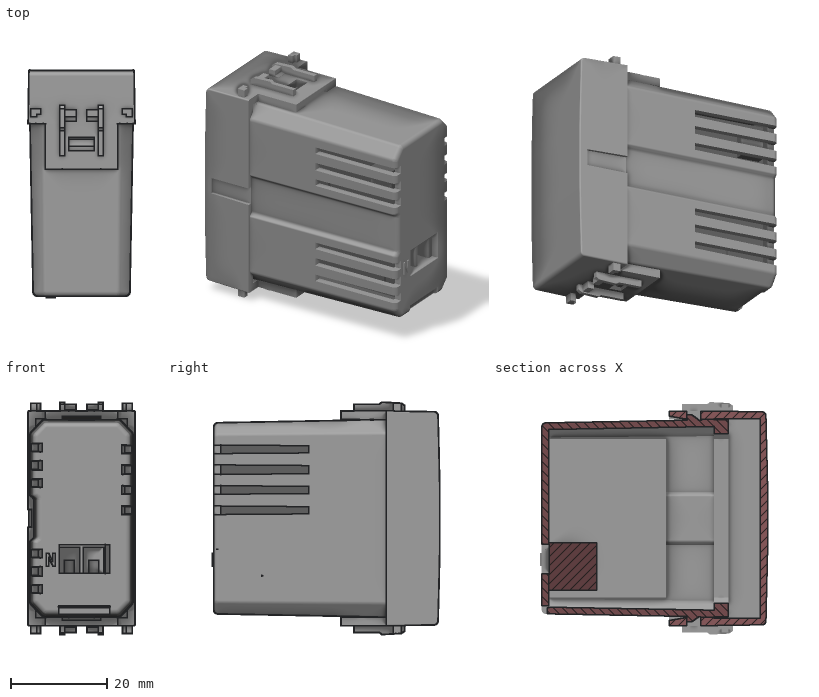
import cadquery as cq
import math


CAP_WIDTH = 22.3
CAP_HEIGHT = 44.75
CAP_DEPTH = 11.2
CAP_DRAFT = 0.9
CAP_CROWN = 0.42
CAP_LONG_EDGE_RADIUS = 0.3
CAP_BACK_END_RADIUS = 0.9
CAP_BACK_WALL = 1.65
CAP_OPENING_WIDTH = 19.1
CAP_OPENING_HEIGHT = 41.4
SIDE_GROOVE_HALF_FRONT = 1.9
SIDE_GROOVE_HALF_BACK = 1.77
SIDE_GROOVE_LENGTH = 9.4
SIDE_GROOVE_DEPTH = 0.78

HOUSING_WIDTH = 21.5
HOUSING_HEIGHT = 41.15
HOUSING_DEPTH = 35.95
HOUSING_DRAFT = 1.05
HOUSING_WALL = 1.5
CHAMFER_X = 2.75
CHAMFER_Z = 2.85
EDGE_RADIUS = 1.0
FRONT_RADIUS = 1.0
NECK_LENGTH = 3.0
PANEL_DEPTH = 0.85
PANEL_HALF_FLOOR = 4.05
PANEL_HALF_MOUTH = 4.78
PANEL_FLOOR_RADIUS = 0.6
PANEL_MOUTH_RADIUS = 0.4

SLOT_REAR_Y = -16.13
SLOT_REAR_HEIGHT = 1.5
SLOT_FRONT_HEIGHT = 1.8
TALL_SLOT_EXTRA = 0.2
LEFT_SLOT_Z = 11.03
LEFT_SLOT_PITCH = 3.7
LEFT_SLOT_FLOOR = 8.19
RIGHT_SLOT_TOP_Z = 14.37
RIGHT_SLOT_PITCH = 4.23
RIGHT_SLOT_COUNT = 4
RIGHT_SLOT_FLOOR = 8.4

WINDOW_LEFT, WINDOW_RIGHT = -4.63, 5.93
WINDOW_TOP, WINDOW_BOTTOM = -5.47, -11.47
NOTCH_LEFT = -4.78
NOTCH_TOP = -18.2
NOTCH_DEPTH = 1.1
NOTCH_GAP = 0.37
MARK_LEFT, MARK_RIGHT = -7.35, -5.45
MARK_TOP, MARK_BOTTOM = -7.25, -9.95
MARK_STROKE = 0.5
MARK_NOTCH = 0.9
MARK_RELIEF = 0.3

PLATE_WIDTH = 15.0
PLATE_LENGTH = 9.45
PLATE_ROOT = 1.0
PLATE_INNER = HOUSING_HEIGHT / 2
PLATE_OUTER = CAP_HEIGHT / 2
LEAD_IN_WIDTH = 8.1
LEAD_IN_RISE = 0.65
SNAP_WIDTH = 5.33
SNAP_BACK, SNAP_FRONT = -2.87, -5.64
TOOTH_START, TOOTH_CREST = -3.26, -4.67
TOOTH_TOP = 21.6

TOTAL_HEIGHT = 48.4
RIB_WIDTH = 1.0
RIB_X = 4.0
RIB_BACK, RIB_FRONT = 3.86, -6.72
RIB_LOW_TOP = 23.8
RIB_RAMP_START, RIB_RAMP_END, RIB_CREST_BACK = -1.45, -0.9, -0.54
RIB_BEVEL_LENGTH = 0.76
RIB_BEVEL_DROP = 0.5
STOP_INNER_X = 1.1
STOP_BACK, STOP_STEP, STOP_FRONT = 2.93, 1.48, 0.54
STOP_LEDGE = 0.25
TAB_INNER_X, TAB_STEP_X, TAB_OUTER_X = 8.53, 9.33, 10.6
TAB_BACK, TAB_STEP_Y, TAB_FRONT = 3.08, 1.97, 1.45
TAB_TOP = 24.0
ROOT_DEPTH = 0.5
FOOT_Z = CAP_HEIGHT / 2 - ROOT_DEPTH

TERMINAL_HALF_WIDTH = 4.96
TERMINAL_TOP, TERMINAL_BOTTOM = -5.0, -15.0
TERMINAL_DEPTH = 10.0
WIRE_PITCH = 5.07
WIRE_PIT_WIDTH = 4.26
WIRE_PIT_TOP, WIRE_PIT_BOTTOM = -6.05, WINDOW_BOTTOM
WIRE_PIT_DEPTH = 6.0
CHANNEL_RADIUS = 1.03
CHANNEL_TOP = -8.76

BOARD_FACE_X = -6.0
BOARD_BACK_X = -5.0
BOARD_REAR_Y = -10.0
BOARD_HALF_HEIGHT = 16.5
UPPER_COMPONENT_X = -8.0
UPPER_COMPONENT_Y = (-33.47, -28.4)
UPPER_COMPONENT_Z = (8.6, 13.4)
LOWER_COMPONENT_X = -6.6
LOWER_COMPONENT_Y = (-30.76, -25.87)
LOWER_COMPONENT_Z = (-14.48, -10.4)
REAR_COMPONENT_X = -7.0
REAR_COMPONENT_Y = (-17.04, -12.0)
REAR_COMPONENT_Z = (4.5, 8.6)


def block(x_range, y_range, z_range):
    """Axis-aligned box between pairs of limits given in either order."""
    ranges = (x_range, y_range, z_range)
    size = [abs(high - low) for low, high in ranges]
    centre = [(low + high) / 2 for low, high in ranges]
    return cq.Workplane("XY").box(*size).translate(tuple(centre))


def yz_prism(points, x_low, x_high):
    """Outline of (y, z) points extruded between two X limits."""
    return cq.Workplane("YZ", origin=(x_low, 0, 0)).polyline(points).close().extrude(x_high - x_low)


def both_ends(feature):
    """The feature on the +Z end and its mirror image on the -Z end."""
    return feature.union(feature.mirror("XY"))


def both_sides(feature):
    return feature.union(feature.mirror("YZ"))



def cap_shell():
    back_plane = cq.Plane(origin=(0, 0, 0), xDir=(1, 0, 0), normal=(0, 1, 0))
    shell = cq.Workplane(back_plane).rect(CAP_WIDTH, CAP_HEIGHT).extrude(CAP_DEPTH, taper=CAP_DRAFT)
    half_height = CAP_HEIGHT / 2
    edge_y = CAP_DEPTH - CAP_CROWN
    crowned = (
        cq.Workplane("YZ", origin=(-CAP_WIDTH / 2, 0, 0))
        .moveTo(0, -half_height)
        .lineTo(edge_y, -half_height)
        .threePointArc((CAP_DEPTH, 0), (edge_y, half_height))
        .lineTo(0, half_height)
        .close()
        .extrude(CAP_WIDTH)
    )
    shell = shell.intersect(crowned)
    shell = shell.faces(">Y").edges("|X").fillet(CAP_BACK_END_RADIUS)
    shell = shell.faces(">X or <X").edges("not <Y").fillet(CAP_LONG_EDGE_RADIUS)
    half_width, half_opening = CAP_OPENING_WIDTH / 2, CAP_OPENING_HEIGHT / 2
    inside = block((-half_width, half_width), (0, CAP_DEPTH - CAP_BACK_WALL), (-half_opening, half_opening))
    return shell.cut(inside)


def side_groove():
    outline = [
        (0, -SIDE_GROOVE_HALF_FRONT),
        (SIDE_GROOVE_LENGTH, -SIDE_GROOVE_HALF_BACK),
        (SIDE_GROOVE_LENGTH, SIDE_GROOVE_HALF_BACK),
        (0, SIDE_GROOVE_HALF_FRONT),
    ]
    return yz_prism(outline, -CAP_WIDTH / 2, -CAP_WIDTH / 2 + SIDE_GROOVE_DEPTH)


def clip_plate():
    half = PLATE_WIDTH / 2
    plate = block((-half, half), (0, -PLATE_LENGTH), (PLATE_INNER, PLATE_OUTER))
    plate = plate.union(block((-half, half), (0, PLATE_ROOT), (CAP_OPENING_HEIGHT / 2, FOOT_Z)))
    lead_in = [
        (-PLATE_LENGTH, PLATE_INNER),
        (-PLATE_LENGTH, PLATE_INNER + LEAD_IN_RISE),
        (SNAP_FRONT, PLATE_INNER),
    ]
    plate = plate.cut(yz_prism(lead_in, -LEAD_IN_WIDTH / 2, LEAD_IN_WIDTH / 2))
    snap_half = SNAP_WIDTH / 2
    return plate.cut(block((-snap_half, snap_half), (SNAP_BACK, SNAP_FRONT), (PLATE_INNER, PLATE_OUTER)))


def clip_rib():
    crest = TOTAL_HEIGHT / 2
    profile = [
        (RIB_FRONT, FOOT_Z),
        (RIB_FRONT, RIB_LOW_TOP),
        (RIB_RAMP_START, RIB_LOW_TOP),
        (RIB_RAMP_END, crest),
        (RIB_CREST_BACK, crest),
        (RIB_BACK - RIB_BEVEL_LENGTH, TAB_TOP),
        (RIB_BACK, TAB_TOP - RIB_BEVEL_DROP),
        (RIB_BACK, FOOT_Z),
    ]
    return yz_prism(profile, RIB_X - RIB_WIDTH / 2, RIB_X + RIB_WIDTH / 2)


def clip_stop():
    profile = [
        (STOP_BACK, FOOT_Z),
        (STOP_BACK, RIB_LOW_TOP),
        (STOP_STEP, RIB_LOW_TOP),
        (STOP_STEP, PLATE_OUTER + STOP_LEDGE),
        (STOP_FRONT, PLATE_OUTER),
        (STOP_FRONT, FOOT_Z),
    ]
    return yz_prism(profile, STOP_INNER_X, RIB_X)


def corner_tab():
    tab = block((TAB_STEP_X, TAB_OUTER_X), (TAB_BACK, TAB_FRONT), (FOOT_Z, TAB_TOP))
    return tab.union(block((TAB_INNER_X, TAB_STEP_X), (TAB_BACK, TAB_STEP_Y), (FOOT_Z, TAB_TOP)))


def make_cap():
    raised = both_sides(clip_rib().union(clip_stop()).union(corner_tab()))
    cap = cap_shell().cut(side_groove())
    return cap.union(both_ends(clip_plate())).union(both_ends(raised))



def housing_outline(inset=0.0):
    """Octagon of the housing at y = 0, moved inwards by the inset."""
    half_x, half_z = HOUSING_WIDTH / 2, HOUSING_HEIGHT / 2
    corner = [(half_x - CHAMFER_X, half_z), (half_x, half_z - CHAMFER_Z)]
    bottom_right = [(x, -z) for x, z in reversed(corner)]
    bottom_left = [(-x, -z) for x, z in corner]
    top_left = [(-x, z) for x, z in reversed(corner)]
    outline = cq.Workplane("XZ").polyline(corner + bottom_right + bottom_left + top_left).close()
    return outline.offset2D(-inset, "intersection") if inset else outline


def side_panel_recess(wall=0.0):
    """Recess along the -X side, parallel to that side; the wall moves its faces inwards."""
    side_x = -HOUSING_WIDTH / 2
    floor_x = side_x + PANEL_DEPTH + wall
    open_x = side_x - PANEL_DEPTH
    floor_half = PANEL_HALF_FLOOR + wall / 2
    spread = (PANEL_HALF_MOUTH - PANEL_HALF_FLOOR) / PANEL_DEPTH
    open_half = floor_half + spread * (floor_x - open_x)
    outline = [(open_x, open_half), (floor_x, floor_half), (floor_x, -floor_half), (open_x, -open_half)]
    lean = HOUSING_DEPTH * math.tan(math.radians(HOUSING_DRAFT))
    face = cq.Face.makeFromWires(cq.Wire.makePolygon([cq.Vector(x, 0, z) for x, z in outline], close=True))
    recess = cq.Workplane(cq.Solid.extrudeLinear(face, cq.Vector(lean, -HOUSING_DEPTH, 0)))
    return recess.faces(">X").edges("not (|Z)").fillet(PANEL_FLOOR_RADIUS)


def cut_side_panel(housing):
    housing = housing.cut(side_panel_recess())
    side_x = -HOUSING_WIDTH / 2
    reach = PANEL_DEPTH / 2
    for sign in (-1, 1):
        mouth_z = sign * PANEL_HALF_MOUTH
        mouth_edge = cq.selectors.BoxSelector(
            (side_x - reach, -HOUSING_DEPTH, mouth_z - reach),
            (side_x + 2 * reach, 0, mouth_z + reach),
        )
        housing = housing.edges(mouth_edge).fillet(PANEL_MOUTH_RADIUS)
    return housing


def vent_slot(z, side, floor, extra_height=0.0):
    """Slot that opens on one side (-1 or +1 along X) and on the front, taller at the front."""
    front_y = -HOUSING_DEPTH
    rear_half = (SLOT_REAR_HEIGHT + extra_height) / 2
    front_half = (SLOT_FRONT_HEIGHT + extra_height) / 2
    outline = [
        (SLOT_REAR_Y, z - rear_half),
        (SLOT_REAR_Y, z + rear_half),
        (front_y, z + front_half),
        (front_y, z - front_half),
    ]
    limits = sorted((side * floor, side * HOUSING_WIDTH / 2))
    return yz_prism(outline, *limits)


def cut_vents(housing):
    for group_z in (-LEFT_SLOT_Z, LEFT_SLOT_Z):
        for step in (-1, 0, 1):
            extra = TALL_SLOT_EXTRA if step == 0 else 0.0
            housing = housing.cut(vent_slot(group_z + step * LEFT_SLOT_PITCH, -1, LEFT_SLOT_FLOOR, extra))
    for index in range(RIGHT_SLOT_COUNT):
        extra = TALL_SLOT_EXTRA if index == 1 else 0.0
        z = RIGHT_SLOT_TOP_Z - index * RIGHT_SLOT_PITCH
        housing = housing.cut(vent_slot(z, 1, RIGHT_SLOT_FLOOR, extra))
    return housing


def neck():
    """Tube that plugs into the opening of the cap."""
    half_width = CAP_OPENING_WIDTH / 2
    tube = housing_outline().extrude(-NECK_LENGTH)
    tube = tube.intersect(
        block((-half_width, half_width), (0, NECK_LENGTH), (-HOUSING_HEIGHT / 2, HOUSING_HEIGHT / 2))
    )
    return tube.cut(housing_outline(2 * HOUSING_WALL).extrude(-NECK_LENGTH))


def snap_tooth():
    profile = [
        (TOOTH_START, PLATE_INNER - HOUSING_WALL / 2),
        (TOOTH_START, PLATE_INNER),
        (TOOTH_CREST, TOOTH_TOP),
        (SNAP_FRONT, TOOTH_TOP),
        (SNAP_FRONT, PLATE_INNER - HOUSING_WALL / 2),
    ]
    return yz_prism(profile, -SNAP_WIDTH / 2, SNAP_WIDTH / 2)


def terminal_mark():
    """Raised N beside the terminal window; it forms the foremost face of the module."""
    left_inner, right_inner = MARK_LEFT + MARK_STROKE, MARK_RIGHT - MARK_STROKE
    outline = [
        (MARK_LEFT, MARK_BOTTOM),
        (MARK_LEFT, MARK_TOP),
        (left_inner, MARK_TOP),
        (right_inner, MARK_BOTTOM + MARK_NOTCH),
        (right_inner, MARK_TOP),
        (MARK_RIGHT, MARK_TOP),
        (MARK_RIGHT, MARK_BOTTOM),
        (right_inner, MARK_BOTTOM),
        (left_inner, MARK_TOP - MARK_NOTCH),
        (left_inner, MARK_BOTTOM),
    ]
    root = cq.Workplane("XZ", origin=(0, HOUSING_WALL / 2 - HOUSING_DEPTH, 0))
    return root.polyline(outline).close().extrude(HOUSING_WALL / 2 + MARK_RELIEF)


def make_housing():
    housing = housing_outline().extrude(HOUSING_DEPTH, taper=HOUSING_DRAFT)
    housing = housing.edges("not (#Y)").fillet(EDGE_RADIUS)
    housing = cut_side_panel(housing)
    housing = housing.faces("<Y").edges().fillet(FRONT_RADIUS)
    cavity = housing_outline(HOUSING_WALL).extrude(HOUSING_DEPTH - HOUSING_WALL, taper=HOUSING_DRAFT)
    housing = housing.cut(cavity.cut(side_panel_recess(HOUSING_WALL)))
    housing = housing.union(neck()).union(both_ends(snap_tooth()))
    housing = cut_vents(housing)
    front_y = -HOUSING_DEPTH
    window = block(
        (WINDOW_LEFT, WINDOW_RIGHT), (front_y, front_y + HOUSING_WALL), (WINDOW_BOTTOM, WINDOW_TOP)
    )
    notch = block(
        (NOTCH_LEFT, WINDOW_RIGHT), (front_y, front_y + NOTCH_DEPTH), (-HOUSING_HEIGHT / 2, NOTCH_TOP)
    )
    gap = block(
        (NOTCH_LEFT, WINDOW_RIGHT), (front_y, front_y + HOUSING_WALL), (NOTCH_TOP - NOTCH_GAP, NOTCH_TOP)
    )
    return housing.cut(window).cut(notch).cut(gap).union(terminal_mark())



TERMINAL_FRONT = HOUSING_WALL - HOUSING_DEPTH
WIRE_PIT_BACK = TERMINAL_FRONT + WIRE_PIT_DEPTH
WIRE_CENTRES = (-WIRE_PITCH / 2, WIRE_PITCH / 2)


def make_terminal_block():
    body = block(
        (-TERMINAL_HALF_WIDTH, TERMINAL_HALF_WIDTH),
        (TERMINAL_FRONT, TERMINAL_FRONT + TERMINAL_DEPTH),
        (TERMINAL_BOTTOM, TERMINAL_TOP),
    )
    for x in WIRE_CENTRES:
        half = WIRE_PIT_WIDTH / 2
        body = body.cut(
            block((x - half, x + half), (TERMINAL_FRONT, WIRE_PIT_BACK), (WIRE_PIT_BOTTOM, WIRE_PIT_TOP))
        )
        channel = (
            cq.Workplane("XY", origin=(x, WIRE_PIT_BACK, WIRE_PIT_BOTTOM))
            .circle(CHANNEL_RADIUS)
            .extrude(CHANNEL_TOP - WIRE_PIT_BOTTOM)
        )
        body = body.cut(channel)
    return body


def make_board():
    return block(
        (BOARD_FACE_X, BOARD_BACK_X),
        (TERMINAL_FRONT, BOARD_REAR_Y),
        (-BOARD_HALF_HEIGHT, BOARD_HALF_HEIGHT),
    )


def make_component(face_x, y_range, z_range):
    """Box-shaped component on the board, out to its own outer face."""
    return block((face_x, BOARD_FACE_X), y_range, z_range)


cap = make_cap()
housing = make_housing()
terminal_block = make_terminal_block()
board = make_board()
upper_component = make_component(UPPER_COMPONENT_X, UPPER_COMPONENT_Y, UPPER_COMPONENT_Z)
lower_component = make_component(LOWER_COMPONENT_X, LOWER_COMPONENT_Y, LOWER_COMPONENT_Z)
rear_component = make_component(REAR_COMPONENT_X, REAR_COMPONENT_Y, REAR_COMPONENT_Z)

result = cq.Compound.makeCompound(
    [
        cap.val(),
        housing.val(),
        terminal_block.val(),
        board.val(),
        upper_component.val(),
        lower_component.val(),
        rear_component.val(),
    ]
)